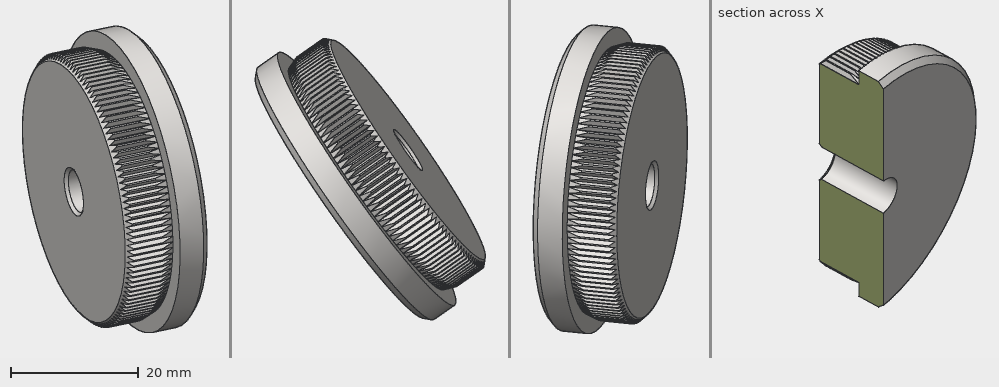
import cadquery as cq


FLANGE_RADIUS = 24.15
FLANGE_THICKNESS = 5.0
EDGE_CHAMFER = 1.0

BARREL_RADIUS = 21.95
BARREL_LENGTH = 7.95
NECK_LENGTH = 2.0
NECK_DEPTH = 0.72

GROOVE_COUNT = 130
GROOVE_DEPTH = 0.75
GROOVE_WIDTH = 0.8
GROOVE_OVERCUT = 0.05

HOLE_DIAMETER = 6.8
HOLE_MOUTH_DIAMETER = 7.82


def body():
    """Flange and barrel turned in one piece: outline given as (Y, radius)."""
    outline = [
        (-BARREL_LENGTH, 0),
        (-BARREL_LENGTH, BARREL_RADIUS - EDGE_CHAMFER),
        (-BARREL_LENGTH + EDGE_CHAMFER, BARREL_RADIUS),
        (-NECK_LENGTH, BARREL_RADIUS),
        (0, BARREL_RADIUS - NECK_DEPTH),
        (0, FLANGE_RADIUS),
        (FLANGE_THICKNESS - EDGE_CHAMFER, FLANGE_RADIUS),
        (FLANGE_THICKNESS, FLANGE_RADIUS - EDGE_CHAMFER),
        (FLANGE_THICKNESS, 0),
    ]
    return cq.Workplane("YZ").polyline(outline).close().revolve(360, (0, 0), (1, 0))


def knurl_grooves():
    """V-shaped cutters around the barrel, the first one at the top (+Z)."""
    cutter_height = GROOVE_DEPTH + GROOVE_OVERCUT
    half_width = GROOVE_WIDTH / 2 * cutter_height / GROOVE_DEPTH
    root = BARREL_RADIUS - GROOVE_DEPTH
    top = BARREL_RADIUS + GROOVE_OVERCUT
    groove = (
        cq.Workplane("XZ")
        .polyline([(0, root), (half_width, top), (-half_width, top)])
        .close()
        .extrude(BARREL_LENGTH)
        .val()
    )
    pitch_angle = 360 / GROOVE_COUNT
    copies = [
        groove.rotate(cq.Vector(0, 0, 0), cq.Vector(0, 1, 0), i * pitch_angle)
        for i in range(GROOVE_COUNT)
    ]
    return cq.Workplane(cq.Compound.makeCompound(copies))


def hole():
    """Through hole with a 45 degree countersink at the barrel face, outline as (Y, radius)."""
    hole_radius = HOLE_DIAMETER / 2
    mouth_radius = HOLE_MOUTH_DIAMETER / 2
    outline = [
        (-BARREL_LENGTH, 0),
        (-BARREL_LENGTH, mouth_radius),
        (-BARREL_LENGTH + mouth_radius - hole_radius, hole_radius),
        (FLANGE_THICKNESS, hole_radius),
        (FLANGE_THICKNESS, 0),
    ]
    return cq.Workplane("YZ").polyline(outline).close().revolve(360, (0, 0), (1, 0))


result = body().cut(hole()).cut(knurl_grooves())